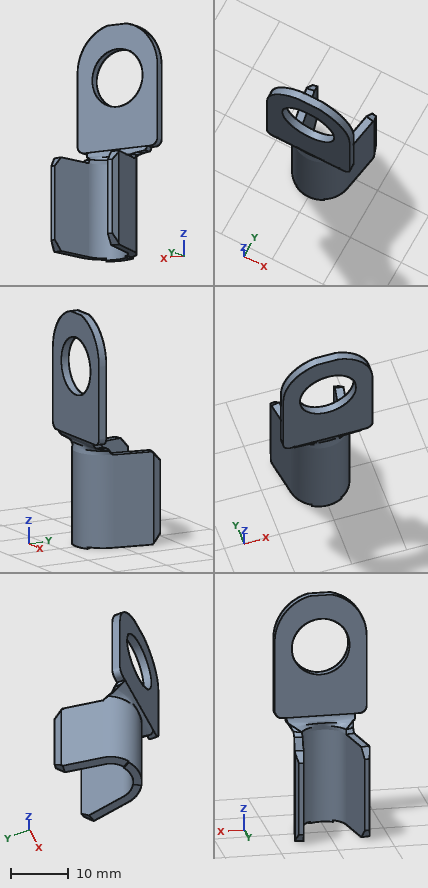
import cadquery as cq
import math

sheet = 1.5
plate_width = 16.26
total_height = 41.53
plate_bottom = 19.45
eye_arc_centre = 33.64
plate_corner_radius = 1.3
hole_diameter = 10.2
hole_height = 32.1

barrel_bottom = 0.3
barrel_top = 16.87
bend_radius = 5.4
wing_tilt = 10.0
barrel_depth = 13.46
tip_corner_length = 1.65
tip_bevel_length = 1.4
tip_bevel_depth = 0.65
tip_corner_height = 1.75
tab_half_angle = 30.5

wrap_half_angle = 90 - wing_tilt
neck_half_width = 6.05
neck_flat_bottom = 19.1
neck_flat_setback = 0.13
neck_stations = [
    (17.6, 5.3, 66.7, 0.19),
    (18.2, 5.7, 28.0, 0.35),
    (18.6, neck_half_width, 5.0, 0.32),
]

inner_radius = bend_radius - sheet
tilt = math.radians(wing_tilt)
inner_bend_end = bend_radius - inner_radius * math.sin(tilt)
wing_length = (barrel_depth - inner_bend_end) / math.cos(tilt)


def arc_point(radius, angle, centre_y):
    """Point on a bend, with the angle measured from straight down (-Y)."""
    turn = math.radians(angle)
    return radius * math.sin(turn), centre_y - radius * math.cos(turn)


def bend_section(height, half_angle, outer_radius, setback):
    """Closed outline of a bent strip of sheet, lying in the plane Z = height."""
    centre_y = setback + outer_radius
    inside = outer_radius - sheet
    return (
        cq.Workplane("XY", origin=(0, 0, height))
        .moveTo(*arc_point(outer_radius, -half_angle, centre_y))
        .threePointArc((0, setback), arc_point(outer_radius, half_angle, centre_y))
        .lineTo(*arc_point(inside, half_angle, centre_y))
        .threePointArc((0, setback + sheet), arc_point(inside, -half_angle, centre_y))
        .close()
    )


def flat_section(height, setback):
    """Closed outline of the strip once it is flat, in the plane Z = height."""
    return cq.Workplane("XY", origin=(0, setback + sheet / 2, height)).rect(2 * neck_half_width, sheet)


def eye_plate():
    """Flat plate with a round, slightly flattened top and a stud hole."""
    half_width = plate_width / 2
    flat_rise = total_height - eye_arc_centre
    flat_half_width = math.sqrt(half_width**2 - flat_rise**2)
    side_angle = math.atan2(flat_rise, flat_half_width) / 2
    arc_middle = (half_width * math.cos(side_angle), eye_arc_centre + half_width * math.sin(side_angle))
    plate = (
        cq.Workplane("XZ")
        .moveTo(-half_width, plate_bottom)
        .lineTo(half_width, plate_bottom)
        .lineTo(half_width, eye_arc_centre)
        .threePointArc(arc_middle, (flat_half_width, total_height))
        .lineTo(-flat_half_width, total_height)
        .threePointArc((-arc_middle[0], arc_middle[1]), (-half_width, eye_arc_centre))
        .close()
        .extrude(-sheet)
    )
    hole = (
        cq.Workplane("XZ")
        .center(0, hole_height)
        .circle(hole_diameter / 2)
        .extrude(-sheet)
    )
    plate = plate.cut(hole)
    lower_corners = plate.faces("<Z").edges("|Y")
    return lower_corners.fillet(plate_corner_radius)


def barrel_bend():
    """Round back of the barrel."""
    height = barrel_top - barrel_bottom
    return bend_section(barrel_bottom, wrap_half_angle, bend_radius, 0).extrude(height)


def locating_tab():
    """Short stub of the round back left standing below the barrel."""
    return bend_section(0, tab_half_angle, bend_radius, 0).extrude(barrel_bottom)


def wing():
    """Straight +X wing, tangent to the bend, with a bevelled and cornered tip."""
    across = cq.Vector(math.cos(tilt), -math.sin(tilt), 0)
    along = cq.Vector(math.sin(tilt), math.cos(tilt), 0)
    root = across * inner_radius + cq.Vector(0, bend_radius, barrel_bottom)
    height = barrel_top - barrel_bottom
    bevel_start = wing_length - tip_bevel_length
    corner_start = wing_length - tip_corner_length
    frame = cq.Plane(origin=root, xDir=across, normal=(0, 0, 1))
    profile = (
        cq.Workplane(frame)
        .polyline([
            (0, 0),
            (sheet, 0),
            (sheet, bevel_start),
            (sheet - tip_bevel_depth, wing_length),
            (0, wing_length),
        ])
        .close()
        .extrude(height)
    )
    side = cq.Plane(origin=root, xDir=along, normal=across)
    outline = (
        cq.Workplane(side)
        .polyline([
            (0, 0),
            (corner_start, 0),
            (wing_length, tip_corner_height),
            (wing_length, height - tip_corner_height),
            (corner_start, height),
            (0, height),
        ])
        .close()
        .extrude(sheet)
    )
    return profile.intersect(outline)


def neck():
    """Strip that opens out from the bent barrel to the flat plate."""
    sections = [bend_section(barrel_top, wrap_half_angle, bend_radius, 0)]
    for height, half_width, half_angle, setback in neck_stations:
        outer_radius = half_width / math.sin(math.radians(half_angle))
        sections.append(bend_section(height, half_angle, outer_radius, setback))
    sections.append(flat_section(neck_flat_bottom, neck_flat_setback))
    sections.append(flat_section(plate_bottom, 0))
    wires = [section.ctx.pendingWires[0] for section in sections]
    return cq.Workplane(cq.Solid.makeLoft(wires, True))


right_wing = wing()
result = (
    eye_plate()
    .union(neck())
    .union(barrel_bend())
    .union(locating_tab())
    .union(right_wing)
    .union(right_wing.mirror("YZ"))
)